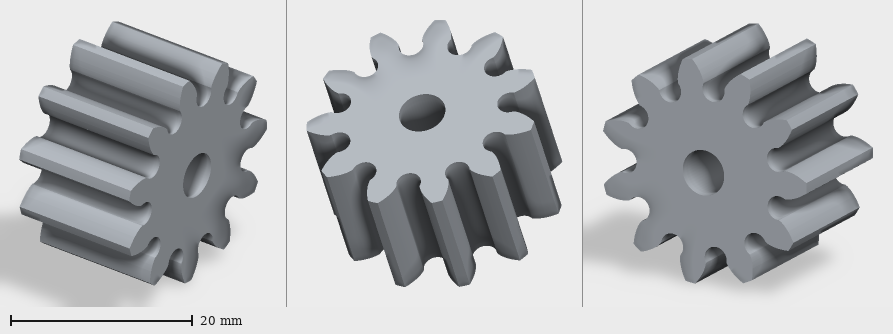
import cadquery as cq
import math

tooth_count = 11
face_width = 15.0
tip_radius = 13.0
root_radius = 8.44
bore_radius = 2.61
pressure_angle = math.radians(20)
first_tooth_angle = math.radians(0.8)

roll_step = math.radians(8)
roll_step_count = 4

module = 2 * tip_radius / (tooth_count + 2)
pitch_radius = module * tooth_count / 2
base_radius = pitch_radius * math.cos(pressure_angle)
tooth_pitch = 2 * math.pi / tooth_count

base_half_angle = tooth_pitch / 4 + math.tan(pressure_angle) - pressure_angle

tip_roll = math.sqrt((tip_radius / base_radius) ** 2 - 1)
flank_rolls = [step * roll_step for step in range(roll_step_count + 1)] + [tip_roll]


def polar(radius, angle):
    return (radius * math.cos(angle), radius * math.sin(angle))


def flank_point(centre_angle, side, roll):
    """Involute point at a roll angle; side is -1 or +1 of the tooth's centre line."""
    radius = base_radius * math.sqrt(1 + roll**2)
    half_angle = base_half_angle - (roll - math.atan(roll))
    return polar(radius, centre_angle + side * half_angle)


def add_flank(outline, centre_angle, side, rolls):
    """Continue the outline along one flank, with an arc between each pair of rolls."""
    for start_roll, end_roll in zip(rolls, rolls[1:]):
        middle = flank_point(centre_angle, side, (start_roll + end_roll) / 2)
        outline = outline.threePointArc(middle, flank_point(centre_angle, side, end_roll))
    return outline


def add_tooth_and_gap(outline, centre_angle):
    """Continue the outline over one tooth and the rounded gap after it."""
    outline = add_flank(outline, centre_angle, -1, flank_rolls)
    tip_middle = polar(tip_radius, centre_angle)
    outline = outline.threePointArc(tip_middle, flank_point(centre_angle, 1, tip_roll))
    outline = add_flank(outline, centre_angle, 1, flank_rolls[::-1])

    gap_bottom = polar(root_radius, centre_angle + tooth_pitch / 2)
    next_tooth = flank_point(centre_angle + tooth_pitch, -1, 0)
    return outline.threePointArc(gap_bottom, next_tooth)


def gear_body():
    outline = cq.Workplane("YZ").moveTo(*flank_point(first_tooth_angle, -1, 0))
    for tooth in range(tooth_count):
        outline = add_tooth_and_gap(outline, first_tooth_angle + tooth * tooth_pitch)
    return outline.close().extrude(face_width)


bore = cq.Workplane("YZ").circle(bore_radius).extrude(face_width)

result = gear_body().cut(bore)